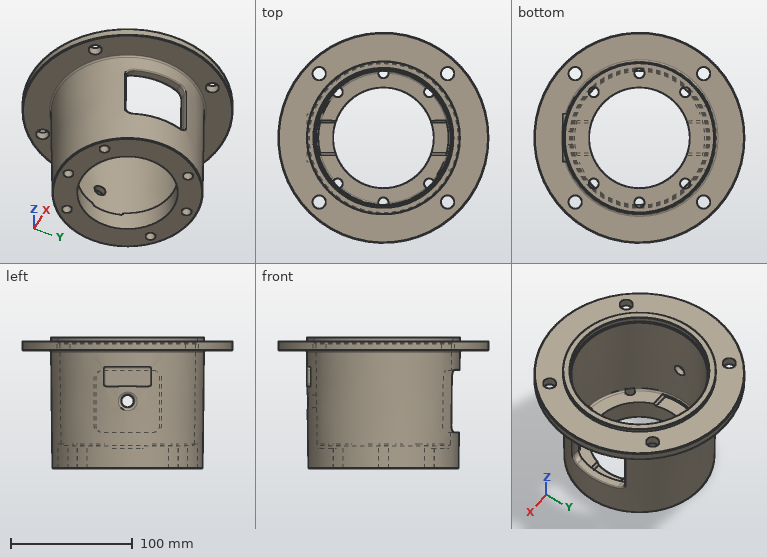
import cadquery as cq
import math

total_height = 107.95
spigot_height = 3.175
flange_thickness = 7.9
flange_top = total_height - spigot_height
flange_bottom = flange_top - flange_thickness

flange_diameter = 173.0
flange_radius = flange_diameter / 2
flange_chamfer = 0.7
spigot_radius = 63.0
spigot_chamfer = 0.5
body_top_radius = 63.0
draft_angle = 0.65
draft_slope = math.tan(math.radians(draft_angle))
body_bottom_radius = body_top_radius - flange_bottom * draft_slope
body_bottom_chamfer = 0.7
neck_fillet = 1.4

pilot_radius = 114.3 / 2
pilot_depth = 4.76
pilot_chamfer = 0.5
pilot_floor = total_height - pilot_depth
cavity_top_radius = 55.9
cavity_chamfer = 0.6
floor_thickness = 19.05
cavity_floor_radius = cavity_top_radius - (pilot_floor - floor_thickness) * draft_slope
floor_fillet = 1.5
floor_slope_angle = 1.0
floor_slope = math.tan(math.radians(floor_slope_angle))
pump_bore_radius = 82.55 / 2

groove_bottom_width = 24.4
groove_top_width = 28.8
groove_depth = 2.5

motor_bolt_circle_radius = 149.2 / 2
motor_hole_diameter = 10.7
motor_hole_count = 4
motor_hole_start_angle = 45
pump_bolt_circle_radius = 106.4 / 2
pump_hole_diameter = 8.2
pump_hole_angles = (45, 90, 135, 225, 270, 315)

window_bottom = 29.9
window_height = 51.0
window_width = 52.4
window_corner_radius = 5.5
window_edge_fillet = 1.0
opening_center_height = window_bottom + window_height / 2
vent_inner_diameter = 9.5
vent_outer_diameter = 11.7
vent_fillet = 2.0

pad_width = 39.4
pad_height = 16.4
pad_center_height = 75.6
pad_face_x = -63.1
pad_base_x = -58.0
pad_corner_radius = 2.5
pad_edge_fillet = 0.9


def radius_at(height):
    """Radius of the drafted outer wall at a given height."""
    return body_bottom_radius + height * draft_slope


def revolved_housing():
    """Flange, spigot, drafted body and stepped cavity as one revolved profile."""
    floor_inner_height = floor_thickness - (cavity_floor_radius - pump_bore_radius) * floor_slope
    profile = (
        cq.Workplane("XZ")
        .moveTo(pump_bore_radius, 0)
        .lineTo(body_bottom_radius - body_bottom_chamfer, 0)
        .lineTo(radius_at(body_bottom_chamfer), body_bottom_chamfer)
        .lineTo(radius_at(flange_bottom - neck_fillet), flange_bottom - neck_fillet)
        .radiusArc((body_top_radius + neck_fillet, flange_bottom), neck_fillet)
        .lineTo(flange_radius - flange_chamfer, flange_bottom)
        .lineTo(flange_radius, flange_bottom + flange_chamfer)
        .lineTo(flange_radius, flange_top - flange_chamfer)
        .lineTo(flange_radius - flange_chamfer, flange_top)
        .lineTo(spigot_radius, flange_top)
        .lineTo(spigot_radius, total_height - spigot_chamfer)
        .lineTo(spigot_radius - spigot_chamfer, total_height)
        .lineTo(pilot_radius + pilot_chamfer, total_height)
        .lineTo(pilot_radius, total_height - pilot_chamfer)
        .lineTo(pilot_radius, pilot_floor)
        .lineTo(cavity_top_radius + cavity_chamfer, pilot_floor)
        .lineTo(cavity_top_radius, pilot_floor - cavity_chamfer)
        .lineTo(cavity_floor_radius, floor_thickness + floor_fillet)
        .radiusArc((cavity_floor_radius - floor_fillet, floor_thickness), floor_fillet)
        .lineTo(pump_bore_radius, floor_inner_height)
        .close()
    )
    return profile.revolve(360, (0, 0, 0), (0, 1, 0))


def floor_grooves():
    """Sloped-sided channel along X, ending where the floor meets its corner fillet."""
    groove_floor = floor_thickness - groove_depth
    channel = (
        cq.Workplane("YZ")
        .moveTo(-groove_bottom_width / 2, groove_floor)
        .lineTo(groove_bottom_width / 2, groove_floor)
        .lineTo(groove_top_width / 2, floor_thickness)
        .lineTo(-groove_top_width / 2, floor_thickness)
        .close()
        .extrude(cavity_floor_radius, both=True)
    )
    reach = (
        cq.Workplane("XY")
        .workplane(offset=groove_floor)
        .circle(cavity_floor_radius - floor_fillet)
        .extrude(groove_depth)
    )
    return channel.intersect(reach)


def motor_holes():
    """Clearance holes through the flange, on the diagonals."""
    return (
        cq.Workplane("XY")
        .workplane(offset=flange_bottom)
        .polarArray(motor_bolt_circle_radius, motor_hole_start_angle, 360, motor_hole_count)
        .circle(motor_hole_diameter / 2)
        .extrude(flange_thickness)
    )


def pump_holes():
    """Holes through the floor and its corner fillet, stopping at the fillet height."""
    centers = [
        (
            pump_bolt_circle_radius * math.cos(math.radians(angle)),
            pump_bolt_circle_radius * math.sin(math.radians(angle)),
        )
        for angle in pump_hole_angles
    ]
    return (
        cq.Workplane("XY")
        .pushPoints(centers)
        .circle(pump_hole_diameter / 2)
        .extrude(floor_thickness + floor_fillet)
    )


def window():
    """Rounded rectangular opening through the +X wall."""
    return (
        cq.Workplane("YZ")
        .center(0, opening_center_height)
        .rect(window_width, window_height)
        .extrude(flange_radius)
        .edges("|X")
        .fillet(window_corner_radius)
    )


def round_window_edge(body):
    """Round the outer rim of the window; edges on the cavity wall stay sharp."""
    margin = 3.0
    rim = cq.selectors.BoxSelector(
        (cavity_top_radius, -window_width / 2 - margin, window_bottom - margin),
        (body_top_radius + margin, window_width / 2 + margin, window_bottom + window_height + margin),
    )
    return body.edges(rim).fillet(window_edge_fillet)


def name_pad():
    """Flat raised pad on the -X side with rounded corners and front edge."""
    return (
        cq.Workplane("YZ")
        .workplane(offset=pad_face_x)
        .center(0, pad_center_height)
        .rect(pad_width, pad_height)
        .extrude(pad_base_x - pad_face_x)
        .edges("|X")
        .fillet(pad_corner_radius)
        .faces("<X")
        .edges()
        .fillet(pad_edge_fillet)
    )


def vent_hole():
    """Tapered hole through the -X wall, widening outward."""
    inner_x = -(cavity_floor_radius - floor_fillet)
    outer_x = -body_top_radius
    profile = (
        cq.Workplane("XY")
        .moveTo(inner_x, 0)
        .lineTo(inner_x, vent_inner_diameter / 2)
        .lineTo(outer_x, vent_outer_diameter / 2)
        .lineTo(outer_x, 0)
        .close()
    )
    cutter = profile.revolve(360, (0, 0, 0), (1, 0, 0))
    return cutter.translate((0, 0, opening_center_height))


def round_vent_mouth(body):
    """Round the edge of the vent hole on the outer wall."""
    reach = vent_outer_diameter / 2
    mouth = cq.selectors.BoxSelector(
        (-body_top_radius, -reach, opening_center_height - reach),
        (-cavity_top_radius, reach, opening_center_height + reach),
    )
    return body.edges(mouth).fillet(vent_fillet)


housing = revolved_housing().union(name_pad())
for cutter in (floor_grooves(), motor_holes(), pump_holes(), window(), vent_hole()):
    housing = housing.cut(cutter)

result = round_vent_mouth(round_window_edge(housing))